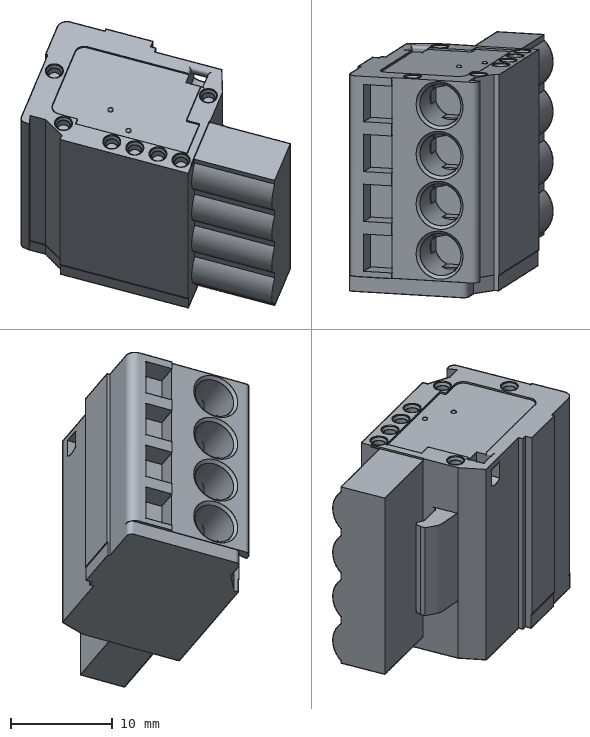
import cadquery as cq
import math

length = 26.3
height = 21.67
poles = 4
pitch = 5.0

cover_height = 1.55
body_right = 18.0
body_top_y = 13.3
left_low = 0.2
step_y = 9.63
shoulder_y = 14.2
boss_y = 14.5
boss_left = 4.6
boss_right = 9.5
corner_radius = 1.0
hook_radius = 0.6
hook_tip_y = 0.9
hook_tip_x = 1.2
notch_y = 1.9
notch_left = 0.97
notch_right = 2.55
foot_left = 4.7
foot_y = 0.55
ledge_x = 10.05
ledge_y = 13.78
chamfer_x = 17.05
chamfer_y = 10.68

cover_left = 0.25
cover_inset = 0.08
cover_radius = 0.58

plug_left = 17.9
plug_top = 21.5
plug_bottom = 1.45
plug_near_y = 2.0
plug_far_y = 6.85
lobe_width = 4.18
lobe_rise = 0.92
first_lobe_z = 3.81

latch_width = 2 * pitch
latch_overlap = 0.25
latch_bottom = 8.36
latch_root_fillet_top = (18.45, latch_bottom)
latch_root_fillet_middle = (18.15, 8.23)
latch_root_fillet_end = (body_right, 7.95)
latch_arm_start = (18.2, 10.57)
latch_arm_end = (20.51, 10.18)
latch_back_middle = (20.8, 10.07)
latch_back_end = (21.05, 9.92)
latch_nose_x = 21.95
latch_nose_top = 9.07
latch_nose_bottom = 8.57
latch_barb_outer = (21.78, 8.05)
latch_barb_tip = (21.57, 7.9)
latch_barb_inner = (21.3, 7.95)
latch_throat_end = (20.93, 8.23)
latch_throat_middle = (20.78, 8.35)
latch_throat_start = (20.57, latch_bottom)

first_port_z = 4.15
port_y = 4.75
port_diameter = 4.2
port_mouth_diameter = 4.8
port_depth = 5.25
ramp_length = 1.58
ramp_low_z = 0.92
ramp_corner_y = 1.1
ceiling_z = 1.68
port_end_half_width = 2.0
port_end_floor_z = -1.92
first_pocket_z = 4.0
pocket_height = 3.73
pocket_top_y = 12.5
pocket_depth = 2.35

panel_recess = 0.18
panel_left = 2.63
panel_right = 17.1
panel_step_x = 15.73
panel_step_y = 6.2
panel_bottom = 2.35
panel_raised_bottom = 2.97
panel_bottom_step_x = 5.52
panel_top = 11.8
panel_radius = 0.97
window_left = 14.15
window_right = 15.89
window_bottom = 10.78
window_top = 12.4
window_rim = 0.3
lid_thickness = 0.63
channel_diameter = 3.0
channel_bottom = 18.94

hole_mouth_diameter = 1.75
hole_rim_chamfer = 0.08
hole_step_outer_diameter = 1.35
hole_step_inner_diameter = 1.25
hole_floor_diameter = 1.15
hole_step_depth = 0.37
hole_depth = 1.0
hole_row_y = 1.35
hole_right_x = 16.8
hole_spacing = 2.4
hole_row_count = 4
single_holes = [(1.47, 7.92), (4.4, 2.03), (hole_right_x, 9.8)]
bump_diameter = 0.53
bump_rise = 0.18
bump_points = [(8.2, 5.2), (10.7, 3.31)]


def pole_heights(first_z):
    """Z positions of a feature repeated once per pole."""
    return [first_z + pitch * i for i in range(poles)]


def box(x0, x1, y0, y1, z0, z1):
    return cq.Workplane("XY").box(x1 - x0, y1 - y0, z1 - z0, centered=False).translate((x0, y0, z0))


def diagonal(radius):
    """Distance from the tangent corner to the middle of a rounded corner, along each axis."""
    return radius * (1 - math.sqrt(0.5))


def make_body():
    bend = diagonal(corner_radius)
    hook_bend = diagonal(hook_radius)
    return (
        cq.Workplane("XY").workplane(offset=cover_height)
        .moveTo(body_right, 0)
        .lineTo(foot_left, 0)
        .lineTo(foot_left, foot_y)
        .lineTo(notch_right, notch_y)
        .lineTo(notch_left, notch_y)
        .lineTo(hook_tip_x, hook_tip_y)
        .lineTo(left_low + hook_radius, hook_tip_y)
        .threePointArc((left_low + hook_bend, hook_tip_y + hook_bend), (left_low, hook_tip_y + hook_radius))
        .lineTo(left_low, step_y)
        .lineTo(0, step_y)
        .lineTo(0, shoulder_y - corner_radius)
        .threePointArc((bend, shoulder_y - bend), (corner_radius, shoulder_y))
        .lineTo(boss_left, shoulder_y)
        .lineTo(boss_left, boss_y)
        .lineTo(boss_right, boss_y)
        .lineTo(boss_right, ledge_y)
        .lineTo(ledge_x, ledge_y)
        .lineTo(ledge_x, body_top_y)
        .lineTo(chamfer_x, body_top_y)
        .lineTo(body_right, chamfer_y)
        .close()
        .extrude(height - cover_height)
    )


def make_cover():
    """Bottom cover: the housing outline without hook, slightly inset."""
    bend = diagonal(cover_radius)
    near_y = notch_y + cover_inset
    return (
        cq.Workplane("XY")
        .moveTo(body_right, cover_inset)
        .lineTo(foot_left, cover_inset)
        .lineTo(foot_left, foot_y)
        .lineTo(notch_right, near_y)
        .lineTo(cover_left + cover_radius, near_y)
        .threePointArc((cover_left + bend, near_y + bend), (cover_left, near_y + cover_radius))
        .lineTo(cover_left, shoulder_y - cover_radius)
        .threePointArc((cover_left + bend, shoulder_y - bend), (cover_left + cover_radius, shoulder_y))
        .lineTo(boss_left, shoulder_y)
        .lineTo(boss_left, boss_y - cover_inset)
        .lineTo(boss_right, boss_y - cover_inset)
        .lineTo(boss_right, ledge_y)
        .lineTo(ledge_x, ledge_y)
        .lineTo(ledge_x, body_top_y)
        .lineTo(chamfer_x, body_top_y)
        .lineTo(body_right, chamfer_y)
        .close()
        .extrude(cover_height)
    )


def make_plug():
    """Plug bar with one rounded lobe per pole on its -Y side."""
    profile = cq.Workplane("YZ").workplane(offset=plug_left).moveTo(plug_near_y, plug_bottom)
    for z in pole_heights(first_lobe_z):
        profile = (
            profile.lineTo(plug_near_y, z - lobe_width / 2)
            .threePointArc((plug_near_y - lobe_rise, z), (plug_near_y, z + lobe_width / 2))
        )
    return (
        profile.lineTo(plug_near_y, plug_top)
        .lineTo(plug_far_y, plug_top)
        .lineTo(plug_far_y, plug_bottom)
        .close()
        .extrude(length - plug_left)
    )


def make_latch():
    """Latch arm on the +X face, centred on the poles."""
    middle_z = (plug_top + plug_bottom) / 2
    root_x = body_right - latch_overlap
    return (
        cq.Workplane("XY").workplane(offset=middle_z - latch_width / 2)
        .moveTo(root_x, chamfer_y)
        .lineTo(body_right, chamfer_y)
        .lineTo(*latch_arm_start)
        .lineTo(*latch_arm_end)
        .threePointArc(latch_back_middle, latch_back_end)
        .lineTo(latch_nose_x, latch_nose_top)
        .lineTo(latch_nose_x, latch_nose_bottom)
        .lineTo(*latch_barb_outer)
        .threePointArc(latch_barb_tip, latch_barb_inner)
        .lineTo(*latch_throat_end)
        .threePointArc(latch_throat_middle, latch_throat_start)
        .lineTo(*latch_root_fillet_top)
        .threePointArc(latch_root_fillet_middle, latch_root_fillet_end)
        .lineTo(root_x, latch_root_fillet_end[1])
        .close()
        .extrude(latch_width)
    )


def make_port(z):
    """Round wire port with a chamfered mouth; its far end has flat sides and two sloped faces."""
    mouth_step = (port_mouth_diameter - port_diameter) / 2
    radius = port_diameter / 2
    start = left_low
    end = start + port_depth
    ramp_start = end - ramp_length
    bore = (
        cq.Workplane("XY")
        .moveTo(start, 0)
        .lineTo(start, port_mouth_diameter / 2)
        .lineTo(start + mouth_step, radius)
        .lineTo(ramp_start, radius)
        .lineTo(ramp_start, 0)
        .close()
        .revolve(360, (0, 0, 0), (1, 0, 0))
    )
    narrow_end = (
        cq.Workplane("YZ").workplane(offset=ramp_start).circle(radius).extrude(ramp_length)
        .intersect(box(ramp_start, end, -port_end_half_width, port_end_half_width, port_end_floor_z, radius))
    )
    ceiling = (
        cq.Workplane("XZ").workplane(offset=-radius)
        .polyline([(ramp_start, radius), (end, ceiling_z), (end, radius)])
        .close()
        .extrude(port_diameter)
    )
    ramp_distance = (ramp_corner_y + ramp_low_z) * math.sqrt(0.5)
    ramp = (
        cq.Workplane("XZ").workplane(offset=-radius)
        .polyline([(ramp_start, radius), (end, ramp_distance), (end, radius)])
        .close()
        .extrude(port_diameter)
        .rotate((0, 0, 0), (1, 0, 0), -45)
        .intersect(box(ramp_start, end, -radius, radius, ramp_low_z, radius))
    )
    return bore.union(narrow_end.cut(ceiling).cut(ramp)).translate((0, port_y, z))


def make_panel_outline(z, depth):
    """Panel outline extruded downward from height z."""
    bend = diagonal(panel_radius)
    return (
        cq.Workplane("XY").workplane(offset=z)
        .moveTo(panel_right, panel_bottom)
        .lineTo(panel_bottom_step_x, panel_bottom)
        .lineTo(panel_bottom_step_x, panel_raised_bottom)
        .lineTo(panel_left + panel_radius, panel_raised_bottom)
        .threePointArc(
            (panel_left + bend, panel_raised_bottom + bend),
            (panel_left, panel_raised_bottom + panel_radius),
        )
        .lineTo(panel_left, panel_top - panel_radius)
        .threePointArc((panel_left + bend, panel_top - bend), (panel_left + panel_radius, panel_top))
        .lineTo(panel_step_x, panel_top)
        .lineTo(panel_step_x, panel_step_y)
        .lineTo(panel_right, panel_step_y)
        .close()
        .extrude(-depth)
    )


def make_channel():
    """Round-bottomed channel under the window, open at the +Y face."""
    half_width = (window_right - window_left) / 2
    radius = channel_diameter / 2
    bottom_rise = radius - math.sqrt(radius ** 2 - half_width ** 2)
    wall_bottom = channel_bottom + bottom_rise
    return (
        cq.Workplane("XZ").workplane(offset=-body_top_y)
        .moveTo(window_left, height - lid_thickness)
        .lineTo(window_left, wall_bottom)
        .threePointArc((window_left + half_width, channel_bottom), (window_right, wall_bottom))
        .lineTo(window_right, height - lid_thickness)
        .close()
        .extrude(body_top_y - window_bottom)
    )


def add_window_and_panel(body):
    """Window with a rounded rim, partly covered by the recessed panel."""
    lid_bottom = height - lid_thickness
    panel_z = height - panel_recess
    opening = box(window_left, window_right, window_bottom, window_top, lid_bottom, height)
    rim_zone = cq.selectors.BoxSelector(
        (window_left - window_rim, window_bottom - window_rim, panel_z),
        (window_right + window_rim, window_top + window_rim, height + panel_recess),
    )
    body = body.cut(opening).edges(rim_zone).fillet(window_rim)
    body = body.cut(make_panel_outline(height, panel_recess))
    plate = make_panel_outline(panel_z, lid_thickness - panel_recess).cut(opening)
    return body.union(plate).cut(make_channel())


def make_hole(x, y):
    """Blind round hole with a chamfered, tapered mouth above a small step and a drafted wall."""
    return (
        cq.Workplane("XZ")
        .moveTo(0, height)
        .lineTo(hole_mouth_diameter / 2, height)
        .lineTo(hole_mouth_diameter / 2 - hole_rim_chamfer, height - hole_rim_chamfer)
        .lineTo(hole_step_outer_diameter / 2, height - hole_step_depth)
        .lineTo(hole_step_inner_diameter / 2, height - hole_step_depth)
        .lineTo(hole_floor_diameter / 2, height - hole_depth)
        .lineTo(0, height - hole_depth)
        .close()
        .revolve(360, (0, 0, 0), (0, 1, 0))
        .translate((x, y, 0))
    )


def make_bump(x, y):
    """Small dome standing on the recessed panel, level with the top face."""
    radius = ((bump_diameter / 2) ** 2 + bump_rise ** 2) / (2 * bump_rise)
    center_z = height - panel_recess + bump_rise - radius
    return cq.Workplane("XY").sphere(radius).translate((x, y, center_z))


body = make_body()

body = body.cut(box(plug_left, body_right, plug_near_y - lobe_rise, plug_far_y, plug_top, height))
body = add_window_and_panel(body)

for z in pole_heights(first_pocket_z):
    body = body.cut(
        box(0, pocket_depth, step_y, pocket_top_y, z - pocket_height / 2, z + pocket_height / 2)
    )

for z in pole_heights(first_port_z):
    body = body.cut(make_port(z))

row_holes = [(hole_right_x - hole_spacing * i, hole_row_y) for i in range(hole_row_count)]
for x, y in single_holes + row_holes:
    body = body.cut(make_hole(x, y))

for x, y in bump_points:
    body = body.union(make_bump(x, y))

result = body.union(make_cover()).union(make_plug()).union(make_latch())